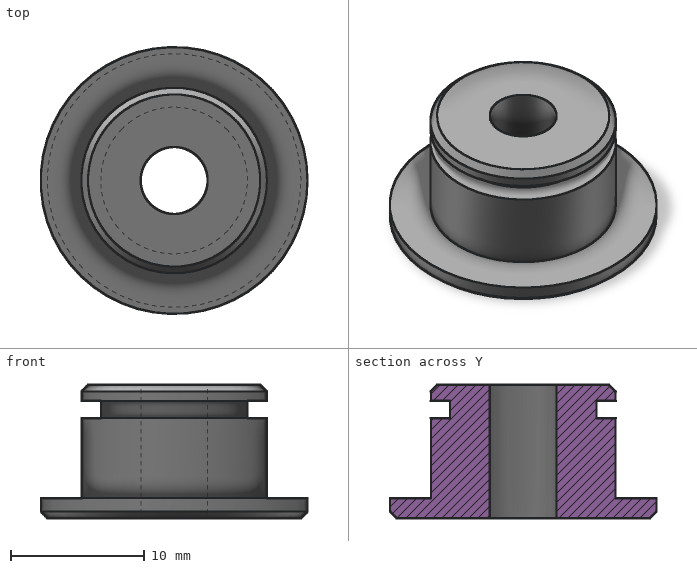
import cadquery as cq

total_height = 10.0
flange_diameter = 20.0
flange_thickness = 1.5
body_diameter = 13.9
bore_diameter = 5.0
groove_diameter = 11.0
groove_width = 1.3
lip_height = 1.2
edge_chamfer = 0.5

groove_bottom = total_height - lip_height - groove_width


def disc(diameter, bottom, height):
    """Solid cylinder on the Z axis, standing on the given level."""
    return cq.Workplane("XY").workplane(offset=bottom).circle(diameter / 2).extrude(height)


flange = disc(flange_diameter, 0, flange_thickness).faces("<Z").edges().chamfer(edge_chamfer)

body = disc(body_diameter, 0, total_height).faces(">Z").edges().chamfer(edge_chamfer)

groove = disc(body_diameter, groove_bottom, groove_width).cut(
    disc(groove_diameter, groove_bottom, groove_width)
)

bore = disc(bore_diameter, 0, total_height)

result = body.cut(groove).union(flange).cut(bore)